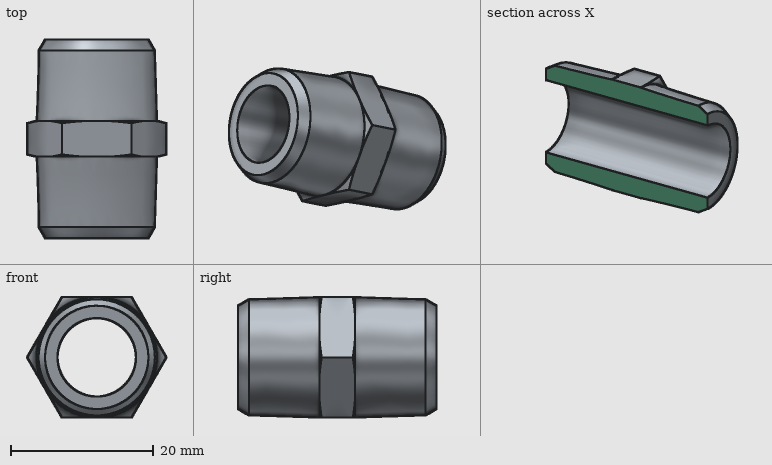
import cadquery as cq
import math

total_length = 28.0
bore_diameter = 11.0
hex_width = 17.0
hex_thickness = 5.0

gauge_diameter = 16.662
gauge_length = 6.4
taper = 1 / 16
tip_diameter = 14.55
tip_chamfer_angle = 30.0

hex_chamfer_diameter = 17.4
hex_chamfer_angle = 15.0

half_length = total_length / 2
half_hex = hex_thickness / 2
hex_corner_diameter = hex_width / math.cos(math.radians(30))


def end_radius(y):
    """Radius of the tapered end at distance y from the middle of the part."""
    depth = half_length - y
    return (gauge_diameter + taper * (depth - gauge_length)) / 2


def revolve_mirrored(upper_points):
    """Solid of revolution about Y from a half profile, mirrored across the XZ plane."""
    lower_points = [(x, -y) for x, y in reversed(upper_points)]
    profile = cq.Workplane("XY").polyline(lower_points + upper_points).close()
    return profile.revolve(360, (0, 0, 0), (0, 1, 0))


def make_tapered_body():
    """Both tapered ends with their tip chamfers, as one solid of revolution."""
    tip_radius = tip_diameter / 2
    chamfer_slope = math.tan(math.radians(tip_chamfer_angle))
    chamfer_length = (end_radius(half_length) - tip_radius) / (chamfer_slope - taper / 2)
    shoulder_y = half_length - chamfer_length
    return revolve_mirrored([
        (end_radius(half_hex), half_hex),
        (end_radius(shoulder_y), shoulder_y),
        (tip_radius, half_length),
        (0, half_length),
    ])


def make_hexagon():
    """Hexagon with two corners on the X axis, trimmed by a cone on each face."""
    prism = cq.Workplane("XZ").polygon(6, hex_corner_diameter).extrude(half_hex, both=True)
    corner_radius = hex_corner_diameter / 2
    chamfer_radius = hex_chamfer_diameter / 2
    corner_drop = (corner_radius - chamfer_radius) * math.tan(math.radians(hex_chamfer_angle))
    trimming_disc = revolve_mirrored([
        (corner_radius, half_hex - corner_drop),
        (chamfer_radius, half_hex),
        (0, half_hex),
    ])
    return prism.intersect(trimming_disc)


def make_bore():
    """Cylinder that opens the nipple from end to end."""
    return cq.Workplane("XZ").circle(bore_diameter / 2).extrude(half_length, both=True)


result = make_tapered_body().union(make_hexagon()).cut(make_bore())